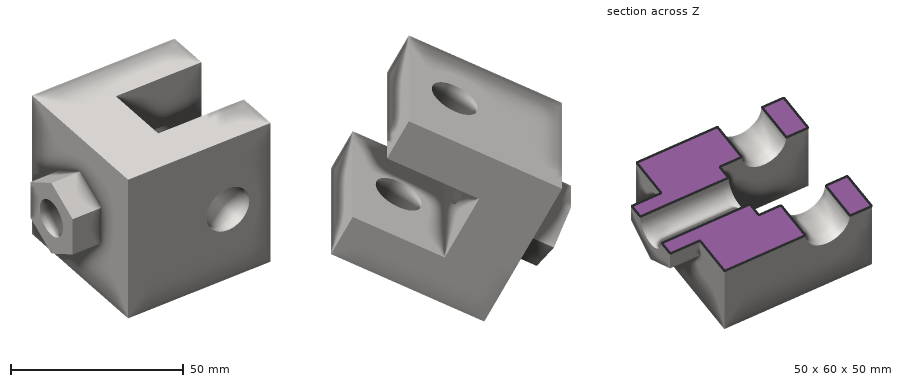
import cadquery as cq
import math

overall_length = 60.0
block_size = 50.0
slot_width = 22.0
slot_depth = 30.0
hex_across_flats = slot_width
bolt_hole_diameter = 12.0
pin_hole_diameter = 15.0
pin_hole_from_end = slot_depth / 2

boss_length = overall_length - block_size
half_block = block_size / 2
hex_across_corners = hex_across_flats / math.cos(math.radians(30))


def make_block():
    """Cube centred on the origin, slotted over its full height to form a fork."""
    block = cq.Workplane("XY").box(block_size, block_size, block_size)
    slot = (
        cq.Workplane("XY")
        .box(slot_width, slot_depth, block_size)
        .translate((0, half_block - slot_depth / 2, 0))
    )
    return block.cut(slot)


def make_boss():
    """Hexagonal boss on the -Y face, with corners pointing up and down."""
    return (
        cq.Workplane("XZ", origin=(0, -half_block, 0))
        .transformed(rotate=(0, 0, 90))
        .polygon(6, hex_across_corners)
        .extrude(boss_length)
    )


def make_bolt_hole():
    """Cylinder along Y through the whole part."""
    return cq.Workplane("XZ").circle(bolt_hole_diameter / 2).extrude(overall_length, both=True)


def make_pin_hole():
    """Cylinder along X through both fork arms."""
    return (
        cq.Workplane("YZ")
        .center(half_block - pin_hole_from_end, 0)
        .circle(pin_hole_diameter / 2)
        .extrude(block_size, both=True)
    )


result = make_block().union(make_boss()).cut(make_bolt_hole()).cut(make_pin_hole())